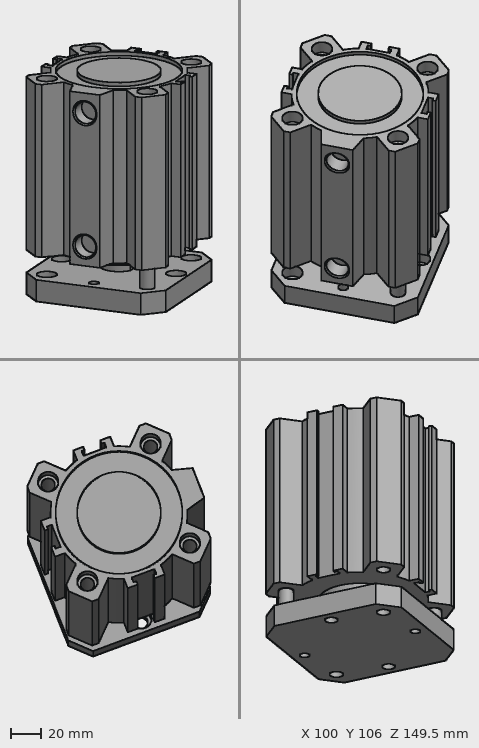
import cadquery as cq
import math

side = 100.0
total_height = 149.5
plate_thickness = 15.0
housing_bottom = 30.8
housing_height = total_height - housing_bottom
half_side = side / 2

housing_chamfer = 12.0
wall_radius = 45.0
ear_half_width = 11.7
ear_angles = (45, 135)
lug_angles = (-90, 0, 90)
lug_width = 26.0
slot_mouth_width = 12.0
slot_inner_width = 16.0
slot_lip = 2.4
slot_depth = 5.8

total_depth = 106.0
block_reach = total_depth - half_side
block_face_half_width = 10.8
block_root_half_width = 14.5
block_root_reach = math.sqrt(wall_radius**2 - block_root_half_width**2)
port_diameter = 15.0
port_depth = 12.0
port_chamfer = 1.0
port_heights = (44.1, 135.7)

recess_diameter = 83.3
recess_depth = 2.7
boss_diameter = 55.0
collar_bottom = 23.5
collar_chamfer = 1.2

corner_offset = 36.0
screw_diameter = 9.0
screw_head_diameter = 13.5
screw_head_depth = 9.0
rod_diameter = 10.0

piston_rod_diameter = 25.0
flats_width = 21.5
flats_top = 20.8

plate_chamfer = 12.5
edge_hole_offset = 41.0
edge_screw_diameter = 8.5
dowel_diameter = 6.6

screw_corners = [(-corner_offset, -corner_offset), (corner_offset, corner_offset)]
rod_corners = [(-corner_offset, corner_offset), (corner_offset, -corner_offset)]


def chamfered_square(chamfer, height):
    """Square block on Z = 0 with its four upright edges cut off."""
    return cq.Workplane("XY").rect(side, side).extrude(height).edges("|Z").chamfer(chamfer)


def disc(diameter, bottom, height):
    """Upright cylinder on the main axis."""
    return cq.Workplane("XY").workplane(offset=bottom).circle(diameter / 2).extrude(height)


def turned(shape, angle):
    """Shape turned about the main axis."""
    return shape.rotate((0, 0, 0), (0, 0, 1), angle)


def make_lug():
    """Side lug reaching from the main axis to the +Y side."""
    lug = cq.Workplane("XY").rect(lug_width, half_side).extrude(housing_height)
    return lug.translate((0, half_side / 2, 0))


def make_slot():
    """Cutter for the T-shaped sensor slot along the outer face of the +Y lug."""
    inner_depth = slot_depth - slot_lip
    mouth = cq.Workplane("XY").rect(slot_mouth_width, 2 * slot_depth).extrude(housing_height)
    inner = cq.Workplane("XY").rect(slot_inner_width, inner_depth).extrude(housing_height)
    inner_middle = half_side - slot_lip - inner_depth / 2
    return mouth.translate((0, half_side, 0)).union(inner.translate((0, inner_middle, 0)))


def make_port_block():
    """Tapered block that carries the two ports."""
    return (
        cq.Workplane("XY")
        .moveTo(-block_root_half_width, 0)
        .lineTo(-block_root_half_width, -block_root_reach)
        .lineTo(-block_face_half_width, -block_reach)
        .lineTo(block_face_half_width, -block_reach)
        .lineTo(block_root_half_width, -block_root_reach)
        .lineTo(block_root_half_width, 0)
        .close()
        .extrude(housing_height)
    )


def make_profile():
    """Housing extrusion: round wall, four corner ears, three slotted lugs and the port block."""
    profile = disc(2 * wall_radius, 0, housing_height)
    outline = chamfered_square(housing_chamfer, housing_height)
    for angle in ear_angles:
        ears = cq.Workplane("XY").rect(2 * side, 2 * ear_half_width).extrude(housing_height)
        profile = profile.union(turned(ears, angle).intersect(outline))
    for angle in lug_angles:
        profile = profile.union(turned(make_lug(), angle))
    for angle in lug_angles:
        profile = profile.cut(turned(make_slot(), angle))
    return profile.union(make_port_block()).translate((0, 0, housing_bottom))


def make_port(height):
    """Cutter for one blind port with a chamfered mouth."""
    radius = port_diameter / 2
    return (
        cq.Workplane("XY")
        .moveTo(0, -block_reach)
        .lineTo(radius + port_chamfer, -block_reach)
        .lineTo(radius, -block_reach + port_chamfer)
        .lineTo(radius, -block_reach + port_depth)
        .lineTo(0, -block_reach + port_depth)
        .close()
        .revolve(360, (0, 0, 0), (0, 1, 0))
        .translate((0, 0, height))
    )


def make_housing():
    """Cylinder housing with its recessed top, bearing collar, ports and screw holes."""
    housing = make_profile()
    recess_floor = total_height - recess_depth
    recess = disc(recess_diameter, recess_floor, recess_depth)
    housing = housing.cut(recess.cut(disc(boss_diameter, recess_floor, recess_depth)))
    collar = disc(boss_diameter, collar_bottom, housing_bottom - collar_bottom)
    housing = housing.union(collar.faces("<Z").chamfer(collar_chamfer))
    for height in port_heights:
        housing = housing.cut(make_port(height))
    return (
        housing.faces(">Z")
        .workplane(origin=(0, 0, total_height))
        .pushPoints(screw_corners + rod_corners)
        .cboreHole(screw_diameter, screw_head_diameter, screw_head_depth)
    )


def make_piston_rod():
    """Piston rod from the plate to the collar, with two flats facing -X and +X."""
    rod = disc(piston_rod_diameter, plate_thickness, collar_bottom - plate_thickness)
    flats_height = flats_top - plate_thickness
    flats = disc(piston_rod_diameter, plate_thickness, flats_height).cut(
        cq.Workplane("XY")
        .workplane(offset=plate_thickness)
        .rect(flats_width, piston_rod_diameter)
        .extrude(flats_height)
    )
    return rod.cut(flats)


def make_slide():
    """Moving plate with its piston rod and two guide rods."""
    plate = (
        chamfered_square(plate_chamfer, plate_thickness)
        .faces(">Z")
        .workplane(origin=(0, 0, plate_thickness))
        .pushPoints(screw_corners)
        .cboreHole(screw_diameter, screw_head_diameter, screw_head_depth)
        .pushPoints([(-edge_hole_offset, 0), (edge_hole_offset, 0)])
        .cboreHole(edge_screw_diameter, screw_head_diameter, screw_head_depth)
        .pushPoints([(0, -edge_hole_offset), (0, edge_hole_offset)])
        .hole(dowel_diameter)
    )
    guide_rods = (
        cq.Workplane("XY")
        .workplane(offset=plate_thickness)
        .pushPoints(rod_corners)
        .circle(rod_diameter / 2)
        .extrude(housing_bottom - plate_thickness)
    )
    return plate.union(make_piston_rod()).union(guide_rods)


housing = make_housing()
slide = make_slide()
result = cq.Compound.makeCompound([housing.val(), slide.val()])